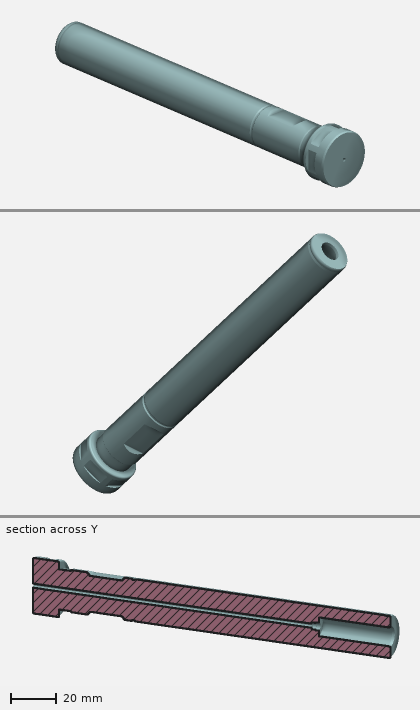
import cadquery as cq

length = 175
head_radius = 26.2 / 2
barrel_radius = 20.0 / 2

nose_radius = 19.0 / 2
bead_crest = 1.2
bead_end = 2.0
bead_valley_depth = 0.2
nose_cone_end = 3.0

joint_start = 125.0
joint_width = 1.8
joint_depth = 0.44
joint_wall_run = 0.5

neck_start = 156.1
neck_radius = 19.0 / 2
neck_chamfer = barrel_radius - neck_radius

head_start = 162.0
head_fillet = 0.9
bevel_length = 0.9
bevel_depth = 0.4

flat_start = 131.5
flat_end = 147
flat_height = 17.0 / 2
flat_ramp_length = 1.4

head_flat_count = 6
head_flat_start = 164.7
head_flat_end = 169.8
head_flat_height = 24.0 / 2
head_ramp_length = 0.7

bore_radius = 8.5 / 2
bore_mouth_radius = 9.3 / 2
bore_mouth_length = 1.2
bore_end = 35
seat_radius = 3.5 / 2
seat_end = 36.8
throat_radius = 3.0 / 2
throat_end = 38.5
through_radius = 1.7 / 2


def revolve_about_x(outline):
    """Revolve a closed outline of X and radius about the X axis."""
    return outline.close().revolve(360, (0, 0, 0), (1, 0, 0))


def turned_body():
    """Solid of revolution with the nose, barrel, neck and head."""
    joint_end = joint_start + joint_width
    joint_radius = barrel_radius - joint_depth
    outline = (
        cq.Workplane("XY")
        .lineTo(0, nose_radius)
        .threePointArc((bead_crest, barrel_radius), (bead_end, barrel_radius - bead_valley_depth))
        .lineTo(nose_cone_end, barrel_radius)
        .lineTo(joint_start, barrel_radius)
        .lineTo(joint_start + joint_wall_run, joint_radius)
        .lineTo(joint_end - joint_wall_run, joint_radius)
        .lineTo(joint_end, barrel_radius)
        .lineTo(neck_start, barrel_radius)
        .lineTo(neck_start + neck_chamfer, neck_radius)
        .lineTo(head_start, neck_radius)
        .lineTo(head_start, head_radius - head_fillet)
        .radiusArc((head_start + head_fillet, head_radius), head_fillet)
        .lineTo(length - bevel_length, head_radius)
        .lineTo(length, head_radius - bevel_depth)
        .lineTo(length, 0)
    )
    return revolve_about_x(outline)


def stepped_bore():
    """Cutter for the bore: tapered mouth, main bore, seat, throat and through hole."""
    outline = (
        cq.Workplane("XY")
        .lineTo(0, bore_mouth_radius)
        .lineTo(bore_mouth_length, bore_radius)
        .lineTo(bore_end, bore_radius)
        .lineTo(bore_end, seat_radius)
        .lineTo(seat_end, seat_radius)
        .lineTo(seat_end, throat_radius)
        .lineTo(throat_end, throat_radius)
        .lineTo(throat_end, through_radius)
        .lineTo(length, through_radius)
        .lineTo(length, 0)
    )
    return revolve_about_x(outline)


def flat_cutter(start, end, height, top, start_run, end_run=0):
    """Block above a flat at Z = height; its ends lean outward by their runs at Z = top."""
    outline = [(start, height), (end, height), (end + end_run, top), (start - start_run, top)]
    return cq.Workplane("XZ").polyline(outline).close().extrude(top, both=True)


def cut_around(body, cutter, count, first_angle):
    """Cut equally spaced copies of the cutter around the X axis."""
    for index in range(count):
        angle = first_angle + index * 360 / count
        body = body.cut(cutter.rotate((0, 0, 0), (1, 0, 0), angle))
    return body


wrench_flat = flat_cutter(
    flat_start, flat_end, flat_height, barrel_radius, flat_ramp_length, flat_ramp_length
)
head_flat = flat_cutter(
    head_flat_start, head_flat_end, head_flat_height, head_radius, head_ramp_length
)

result = turned_body()
result = cut_around(result, wrench_flat, 2, 0)
result = cut_around(result, head_flat, head_flat_count, 180 / head_flat_count)
result = result.cut(stepped_bore())